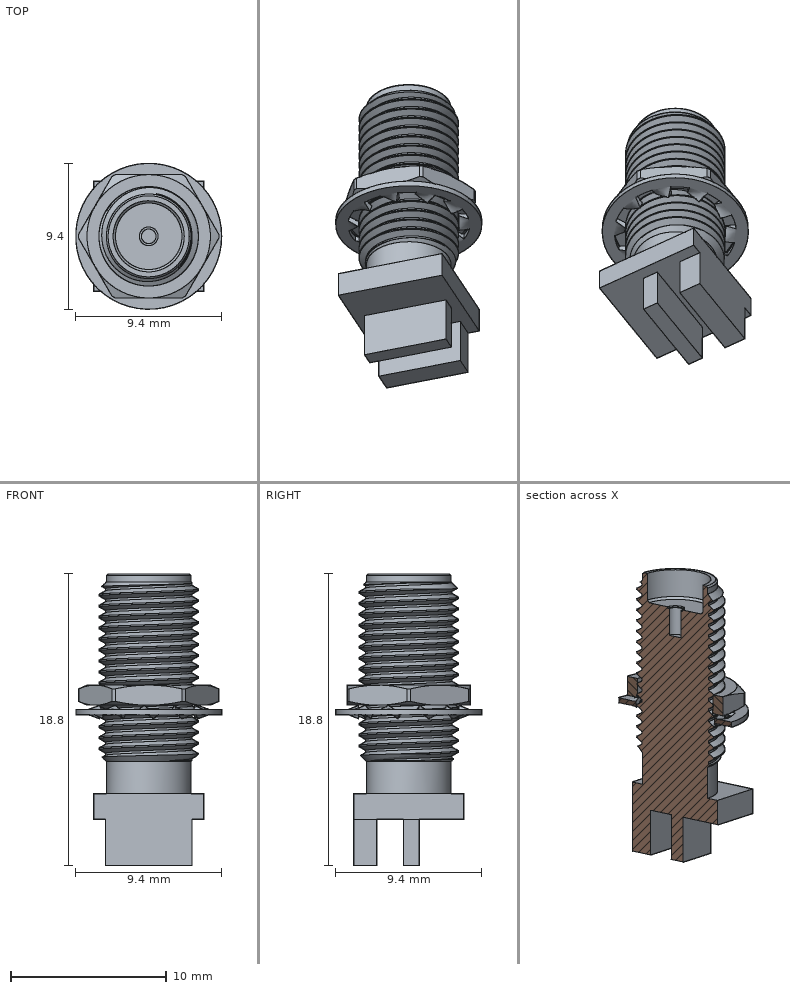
import cadquery as cq
import math

total_height = 18.77
leg_height = 2.98
flange_top = 4.64
thread_bottom = 6.7
thread_top = 18.26

flange_side = 7.1
leg_width = 5.57
edge_leg_thickness = 1.5
center_leg_thickness = 1.03
center_leg_y = 0.17

neck_diameter = 5.45
rim_chamfer = 0.11
socket_diameter = 4.58
socket_depth = 1.78
socket_floor_diameter = 4.28
socket_cone_depth = 0.15
contact_recess_diameter = 1.2
contact_recess_depth = 0.1
contact_bore_diameter = 0.94
contact_bore_depth = 1.88

counted_turns = 10
counted_length = 7.05
pitch = counted_length / counted_turns
crest_diameter = 6.4
root_diameter = 5.57
crest_flat = 0.1
flank_half_angle = 30.0
crest_height_at_plus_x = 7.17
root_overlap = 0.05
envelope_clearance = 0.05
rod_excess = 2.82

nut_bottom = 10.32
nut_height = 1.3
nut_across_flats = 7.94
nut_corner_diameter = 9.03
nut_bore_diameter = 6.2
nut_chamfer_height = 0.25
nut_turn = 30.0

washer_bottom = 9.7
washer_thickness = 0.35
washer_diameter = 9.4
washer_ring_bore = 7.85
tooth_count = 10
tooth_tip_radius = 3.23
tooth_root_width = 1.24
tooth_tip_width = 1.01
tooth_twist = 35.0
tooth_embed = 0.08


def cylinder(diameter, bottom, top):
    """Cylinder on the Z axis between two heights."""
    return cq.Workplane("XY").workplane(offset=bottom).circle(diameter / 2).extrude(top - bottom)


def make_base():
    """Square flange with one leg along its -Y edge and one near the middle."""
    base = (
        cq.Workplane("XY")
        .workplane(offset=leg_height)
        .rect(flange_side, flange_side)
        .extrude(flange_top - leg_height)
    )
    edge_leg_y = (edge_leg_thickness - flange_side) / 2
    for leg_y, thickness in ((edge_leg_y, edge_leg_thickness), (center_leg_y, center_leg_thickness)):
        leg = cq.Workplane("XY").center(0, leg_y).rect(leg_width, thickness).extrude(leg_height)
        base = base.union(leg)
    return base


def make_thread_ridge():
    """Helical ridge that starts and ends beyond the threaded length."""
    inner_radius = root_diameter / 2 - root_overlap
    crest_radius = crest_diameter / 2
    half_crest = crest_flat / 2
    half_base = half_crest + (crest_radius - inner_radius) * math.tan(math.radians(flank_half_angle))
    turns_below = math.ceil((crest_height_at_plus_x - thread_bottom) / pitch) + 1
    start = crest_height_at_plus_x - turns_below * pitch
    turns = math.ceil((thread_top - start) / pitch) + 1
    helix = cq.Wire.makeHelix(pitch, turns * pitch, inner_radius, center=cq.Vector(0, 0, start))
    profile = (
        cq.Workplane("XZ")
        .moveTo(inner_radius, start - half_base)
        .lineTo(crest_radius, start - half_crest)
        .lineTo(crest_radius, start + half_crest)
        .lineTo(inner_radius, start + half_base)
        .close()
    )
    return profile.sweep(cq.Workplane(obj=helix), isFrenet=True)


def make_threaded_rod():
    """Threaded rod, longer than the connector's thread at both ends."""
    core = cylinder(root_diameter, thread_bottom - rod_excess, thread_top + rod_excess)
    return core.union(make_thread_ridge(), clean=False)


def make_thread_envelope():
    """Outer limit of the thread, coned at 45 degrees down to the neck at both ends."""
    neck_radius = neck_diameter / 2
    outer_radius = crest_diameter / 2 + envelope_clearance
    cone_height = outer_radius - neck_radius
    return (
        cq.Workplane("XZ")
        .moveTo(0, thread_bottom)
        .lineTo(neck_radius, thread_bottom)
        .lineTo(outer_radius, thread_bottom + cone_height)
        .lineTo(outer_radius, thread_top - cone_height)
        .lineTo(neck_radius, thread_top)
        .lineTo(0, thread_top)
        .close()
        .revolve(360, (0, 0, 0), (0, 1, 0))
    )


def make_socket():
    """Material removed from the mating end: socket, conical floor edge and contact bore."""
    floor = total_height - socket_depth - socket_cone_depth
    recess_floor = floor - contact_recess_depth
    return (
        cq.Workplane("XZ")
        .moveTo(0, total_height)
        .lineTo(socket_diameter / 2, total_height)
        .lineTo(socket_diameter / 2, total_height - socket_depth)
        .lineTo(socket_floor_diameter / 2, floor)
        .lineTo(contact_recess_diameter / 2, floor)
        .lineTo(contact_recess_diameter / 2, recess_floor)
        .lineTo(contact_bore_diameter / 2, recess_floor)
        .lineTo(contact_bore_diameter / 2, floor - contact_bore_depth)
        .lineTo(0, floor - contact_bore_depth)
        .close()
        .revolve(360, (0, 0, 0), (0, 1, 0))
    )


def make_connector(threaded_rod):
    """Threaded barrel with its socket, on the flange with solder legs."""
    barrel = cylinder(neck_diameter, flange_top, total_height).faces(">Z").chamfer(rim_chamfer)
    thread = threaded_rod.intersect(make_thread_envelope(), clean=False)
    body = thread.union(barrel, clean=False)
    body = body.cut(make_socket(), clean=False)
    return body.union(make_base(), clean=False)


def make_nut(threaded_rod):
    """Hexagon turned off at its corners and chamfered, tapped by the thread and bored to size."""
    nut_top = nut_bottom + nut_height
    face_radius = nut_across_flats / 2
    corner_radius = nut_corner_diameter / 2
    turned_blank = (
        cq.Workplane("XZ")
        .moveTo(0, nut_bottom)
        .lineTo(face_radius, nut_bottom)
        .lineTo(corner_radius, nut_bottom + nut_chamfer_height)
        .lineTo(corner_radius, nut_top - nut_chamfer_height)
        .lineTo(face_radius, nut_top)
        .lineTo(0, nut_top)
        .close()
        .revolve(360, (0, 0, 0), (0, 1, 0))
    )
    hexagon = (
        cq.Workplane("XY")
        .workplane(offset=nut_bottom)
        .polygon(6, nut_across_flats, circumscribed=True)
        .extrude(nut_height)
        .rotate((0, 0, 0), (0, 0, 1), nut_turn)
    )
    tapped_blank = hexagon.intersect(turned_blank).cut(threaded_rod, clean=False)
    return tapped_blank.cut(cylinder(nut_bore_diameter, nut_bottom, nut_top), clean=False)


def make_tooth(mid_height):
    """Tooth on the -Y side, flat where it joins the ring and twisted about its length at its tip."""
    root_radius = washer_ring_bore / 2 * math.cos(math.asin(tooth_root_width / washer_ring_bore))
    embedded_length = washer_ring_bore / 2 + tooth_embed - root_radius
    root_plane = cq.Plane(origin=(0, -root_radius, mid_height), xDir=(1, 0, 0), normal=(0, 1, 0))
    root = cq.Workplane(root_plane).rect(tooth_root_width, washer_thickness).extrude(-embedded_length)
    blade = (
        cq.Workplane(root_plane)
        .rect(tooth_root_width, washer_thickness)
        .workplane(offset=root_radius - tooth_tip_radius)
        .transformed(rotate=(0, 0, tooth_twist))
        .rect(tooth_tip_width, washer_thickness)
        .loft(ruled=True)
    )
    return root.union(blade)


def make_washer():
    """Flat ring with evenly spaced twisted teeth on its inner edge."""
    washer_top = washer_bottom + washer_thickness
    ring = cylinder(washer_diameter, washer_bottom, washer_top)
    ring = ring.cut(cylinder(washer_ring_bore, washer_bottom, washer_top))
    tooth = make_tooth((washer_bottom + washer_top) / 2)
    for index in range(tooth_count):
        ring = ring.union(tooth.rotate((0, 0, 0), (0, 0, 1), index * 360 / tooth_count))
    return ring


threaded_rod = make_threaded_rod()
connector = make_connector(threaded_rod)
nut = make_nut(threaded_rod)
washer = make_washer()
result = cq.Compound.makeCompound([connector.val(), nut.val(), washer.val()])